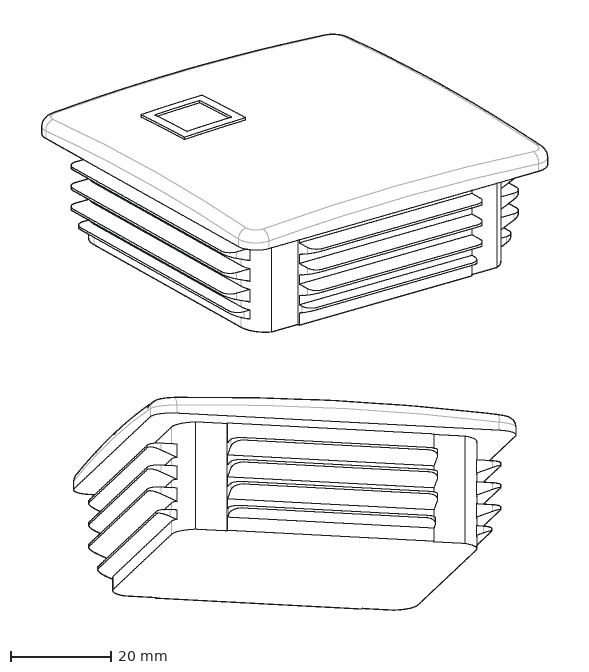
import cadquery as cq
import math

cap_size = 75.0
cap_corner_radius = 4.4
cap_edge_radius = 2.0
dome_radius = 500.0

body_size = 62.5
body_height = 22.0
body_corner_radius = 6.0
groove_depth = 0.5
groove_inner_y = 21.2

overall_height = 28.42
frame_size = 15.0
frame_wall = 2.0
frame_height = 0.5
frame_center = (-13.9, -15.0)

fin_pitch = 4.5
fin_count = 4
long_fin_reach = 5.0
short_fin_reach = 3.15
long_fin_root = 2.55
short_fin_root = 1.8
fin_tip_thickness = 0.5
fin_corner_radius = 2.2
fin_embed = 1.0

body_half = body_size / 2
corner_center = body_half - body_corner_radius
groove_outer_y = corner_center + math.sqrt(
    body_corner_radius**2 - (body_corner_radius - groove_depth) ** 2
)
y_side_fin_length = 2 * groove_outer_y
x_side_fin_length = 2 * groove_inner_y

frame_peak_distance = math.hypot(*(abs(c) - frame_size / 2 for c in frame_center))
frame_peak_drop = dome_radius - math.sqrt(dome_radius**2 - frame_peak_distance**2)
dome_apex = overall_height - frame_height + frame_peak_drop


def under_dome(prism, apex):
    """Trim a prism with the shallow spherical dome that peaks at the given height."""
    ball = cq.Workplane("XZ", origin=(0, 0, apex - dome_radius)).sphere(dome_radius)
    return prism.intersect(ball)


def make_cap():
    prism = (
        cq.Workplane("XY", origin=(0, 0, body_height))
        .rect(cap_size, cap_size)
        .extrude(overall_height - body_height)
        .edges("|Z")
        .fillet(cap_corner_radius)
    )
    domed = under_dome(prism, dome_apex)
    return domed.faces(">Z").edges().fillet(cap_edge_radius)


def make_frame():
    opening = frame_size - 2 * frame_wall
    prism = (
        cq.Workplane("XY", origin=(*frame_center, body_height))
        .rect(frame_size, frame_size)
        .rect(opening, opening)
        .extrude(overall_height - body_height + frame_height)
    )
    return under_dome(prism, dome_apex + frame_height)


def make_body():
    body = (
        cq.Workplane("XY")
        .rect(body_size, body_size)
        .extrude(body_height)
        .edges("|Z")
        .fillet(body_corner_radius)
    )
    groove_length = body_half - groove_inner_y
    groove_y = (body_half + groove_inner_y) / 2
    grooves = (
        cq.Workplane("XY")
        .rect(2 * (body_half - groove_depth / 2), 2 * groove_y, forConstruction=True)
        .vertices()
        .rect(groove_depth, groove_length)
        .extrude(body_height)
    )
    return body.cut(grooves)


def make_fin(length, top, reach, root_thickness):
    """Tapered fin on the +X side: flat on top, sloping underneath, rounded outer corners."""
    slope = (root_thickness - fin_tip_thickness) / reach
    inner_x = body_half - fin_embed
    tip_x = body_half + reach
    return (
        cq.Workplane("XZ", origin=(0, length / 2, 0))
        .moveTo(inner_x, top)
        .lineTo(tip_x, top)
        .lineTo(tip_x, top - fin_tip_thickness)
        .lineTo(inner_x, top - root_thickness - slope * fin_embed)
        .close()
        .extrude(length)
        .edges("|Z and >X")
        .fillet(fin_corner_radius)
    )


result = make_body().union(make_cap()).union(make_frame())
for level in range(1, fin_count + 1):
    lowest = level == 1
    reach = short_fin_reach if lowest else long_fin_reach
    root_thickness = short_fin_root if lowest else long_fin_root
    for quarter_turn in range(4):
        on_x_side = quarter_turn % 2 == 0
        length = x_side_fin_length if on_x_side else y_side_fin_length
        fin = make_fin(length, level * fin_pitch, reach, root_thickness)
        result = result.union(fin.rotate((0, 0, 0), (0, 0, 1), 90 * quarter_turn))